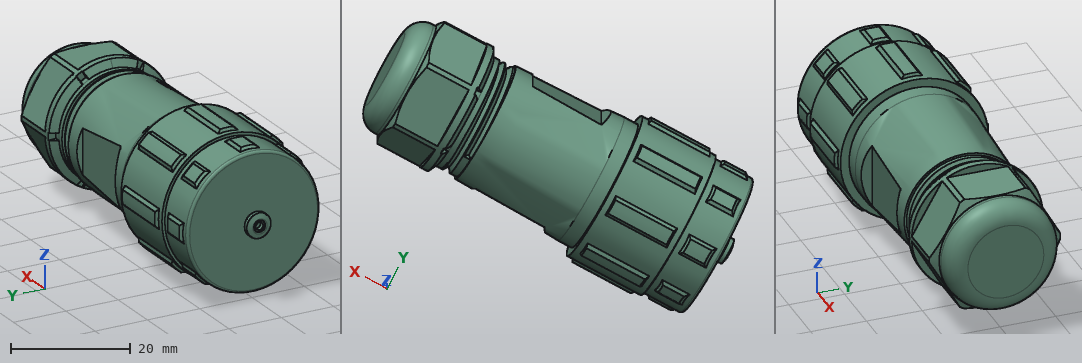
import math

import cadquery as cq


PIN_HEAD_RADIUS = 2.3
PIN_HEAD_FLAT_RADIUS = 1.35
PIN_HEAD_BEVEL = 0.3
PIN_HEAD_END = 1.1
PIN_STEM_RADIUS = 1.3
PIN_HOLE_RADIUS = 0.7
PIN_HOLE_DEPTH = 1.0
PIN_RECESS_RADIUS = 1.05
PIN_RECESS_DEPTH = 0.1

FRONT_START = 2.2
FRONT_RADIUS = 12.7
FRONT_FILLET = 0.5
GRIP_START = 9.75
GRIP_END = 23.7
GRIP_RADIUS = 13.25
GRIP_OUTER_RADIUS = 13.8
PAD_OUTER_RADIUS = 13.15

RIB_COUNT = 8
RIB_BASE_WIDTH = 3.7
RIB_TOP_WIDTH = 2.5
GRIP_RIB_BASE_SPAN = (10.85, 22.55)
GRIP_RIB_TOP_SPAN = (11.25, 22.3)
PAD_BASE_SPAN = (3.4, 8.6)
PAD_TOP_SPAN = (4.1, 8.0)

SHELL_RADIUS = 11.7
SHELL_TAPER_START = 26.4
SHELL_MIDDLE = 34.7
SHELL_MIDDLE_RADIUS = 11.17
SHELL_END = 46.35
SHELL_END_RADIUS = 10.7

FLAT_START = 29.7
FLAT_END = 42.75
FLAT_DISTANCE = 9.95
FLAT_RAMP_ANGLE = 30.0

NECK_RADIUS = 10.3
THREAD_PITCH = 1.54
THREAD_DEPTH = 0.95
THREAD_HALF_WIDTH = 0.68
THREAD_BOTTOM = 47.06
THREAD_START_ANGLE = -30.0
THREAD_START = THREAD_BOTTOM + THREAD_PITCH * THREAD_START_ANGLE / 360

NUT_START = 49.25
FLANGE_START = 50.3
FLANGE_BEVEL_END = 51.1
FLANGE_RADIUS = 11.75
HEX_START = 52.45
HEX_BEVEL_START = 60.5
HEX_END = 61.3
HEX_SIDES = 6
HEX_ACROSS_FLATS = 20.8
SLOT_WIDTH = 1.35
SLOT_END = 51.3
CAP_END = 65.4
CAP_FILLET = 3.5

CUT_MARGIN = 1.0


def revolve_about_x(outline):
    """Turn a closed outline drawn in the XY plane about the X axis."""
    return outline.close().revolve(360, (0, 0, 0), (1, 0, 0))


def cylinder_x(start, end, radius):
    """Cylinder on the X axis between two X positions."""
    return cq.Workplane("YZ", origin=(start, 0, 0)).circle(radius).extrude(end - start)


def repeat_about_x(shape, count, first_angle=0.0):
    """Union of equally spaced copies of a shape about the X axis."""
    step = 360.0 / count
    copies = cq.Workplane()
    for index in range(count):
        copies = copies.add(shape.rotate((0, 0, 0), (1, 0, 0), first_angle + index * step))
    return copies.combine()


def make_pin():
    head = revolve_about_x(
        cq.Workplane("XY")
        .lineTo(0, PIN_HEAD_FLAT_RADIUS)
        .lineTo(PIN_HEAD_BEVEL, PIN_HEAD_RADIUS)
        .lineTo(PIN_HEAD_END, PIN_HEAD_RADIUS)
        .lineTo(PIN_HEAD_END, 0)
    )
    stem = cylinder_x(PIN_HEAD_END, FRONT_START, PIN_STEM_RADIUS)
    hole = cylinder_x(0, PIN_HOLE_DEPTH, PIN_HOLE_RADIUS)
    recess = cylinder_x(0, PIN_RECESS_DEPTH, PIN_RECESS_RADIUS)
    return head.union(stem).cut(hole).cut(recess)


def make_rib(base_span, top_span, band_radius, outer_radius):
    """Rib on the +Z side with four sloped sides and a top concentric with the band."""
    half_width = RIB_BASE_WIDTH / 2
    base_height = math.sqrt(band_radius**2 - half_width**2)
    base_length = base_span[1] - base_span[0]
    top_length = top_span[1] - top_span[0]
    base_center = sum(base_span) / 2
    top_center = sum(top_span) / 2
    frustum = (
        cq.Workplane("XY", origin=(base_center, 0, base_height))
        .rect(base_length, RIB_BASE_WIDTH)
        .workplane(offset=outer_radius - base_height)
        .center(top_center - base_center, 0)
        .rect(top_length, RIB_TOP_WIDTH)
        .loft(ruled=True)
    )
    return frustum.intersect(cylinder_x(*base_span, outer_radius))


def make_coupling_ring():
    front = cylinder_x(FRONT_START, GRIP_START, FRONT_RADIUS).faces("<X").edges().fillet(FRONT_FILLET)
    grip = cylinder_x(GRIP_START, GRIP_END, GRIP_RADIUS)
    pad = make_rib(PAD_BASE_SPAN, PAD_TOP_SPAN, FRONT_RADIUS, PAD_OUTER_RADIUS)
    rib = make_rib(GRIP_RIB_BASE_SPAN, GRIP_RIB_TOP_SPAN, GRIP_RADIUS, GRIP_OUTER_RADIUS)
    ring = front.union(grip)
    ring = ring.union(repeat_about_x(pad, RIB_COUNT))
    return ring.union(repeat_about_x(rib, RIB_COUNT))


def make_shell():
    shell = revolve_about_x(
        cq.Workplane("XY")
        .moveTo(GRIP_END, 0)
        .lineTo(GRIP_END, SHELL_RADIUS)
        .lineTo(SHELL_TAPER_START, SHELL_RADIUS)
        .threePointArc((SHELL_MIDDLE, SHELL_MIDDLE_RADIUS), (SHELL_END, SHELL_END_RADIUS))
        .lineTo(SHELL_END, 0)
    )
    cut_height = SHELL_RADIUS + CUT_MARGIN
    ramp = (cut_height - FLAT_DISTANCE) * math.tan(math.radians(FLAT_RAMP_ANGLE))
    flat_cut = (
        cq.Workplane("XY")
        .moveTo(FLAT_START, FLAT_DISTANCE)
        .lineTo(FLAT_END, FLAT_DISTANCE)
        .lineTo(FLAT_END + ramp, cut_height)
        .lineTo(FLAT_START - ramp, cut_height)
        .close()
        .extrude(cut_height, both=True)
    )
    return shell.cut(flat_cut).cut(flat_cut.mirror("XZ"))


def make_threaded_neck():
    """Neck with a right-hand V groove from near the -Z side to the nut.

    The groove crosses the -Z side at THREAD_BOTTOM and its start angle is measured from there.
    """
    neck = cylinder_x(SHELL_END, NUT_START, NECK_RADIUS)
    root_radius = NECK_RADIUS - THREAD_DEPTH
    cutter_radius = NECK_RADIUS + CUT_MARGIN
    cutter_half_width = THREAD_HALF_WIDTH * (cutter_radius - root_radius) / THREAD_DEPTH
    groove_length = NUT_START + THREAD_HALF_WIDTH - THREAD_START
    helix = cq.Wire.makeHelix(THREAD_PITCH, groove_length, root_radius)
    groove = (
        cq.Workplane("XZ")
        .moveTo(root_radius, 0)
        .lineTo(cutter_radius, cutter_half_width)
        .lineTo(cutter_radius, -cutter_half_width)
        .close()
        .sweep(cq.Workplane(helix), isFrenet=True)
        .rotate((0, 0, 0), (0, 1, 0), 90)
        .rotate((0, 0, 0), (1, 0, 0), THREAD_START_ANGLE)
        .translate((THREAD_START, 0, 0))
    )
    return neck.cut(groove)


def make_nut():
    """Nut with two hexagon flats facing +Z and -Z and its corners trimmed round."""
    turned = revolve_about_x(
        cq.Workplane("XY")
        .moveTo(NUT_START, 0)
        .lineTo(NUT_START, NECK_RADIUS)
        .lineTo(FLANGE_START, NECK_RADIUS)
        .lineTo(FLANGE_BEVEL_END, FLANGE_RADIUS)
        .lineTo(HEX_BEVEL_START, FLANGE_RADIUS)
        .lineTo(HEX_END, NECK_RADIUS)
        .lineTo(CAP_END - CAP_FILLET, NECK_RADIUS)
        .radiusArc((CAP_END, NECK_RADIUS - CAP_FILLET), CAP_FILLET)
        .lineTo(CAP_END, 0)
    )
    turned = turned.rotate((0, 0, 0), (1, 0, 0), 90)
    hex_length = HEX_END - HEX_START
    hex_diameter = HEX_ACROSS_FLATS / math.cos(math.pi / HEX_SIDES)
    hex_blank = cq.Workplane("YZ", origin=(HEX_START, 0, 0))
    outside_hex = (
        hex_blank.circle(FLANGE_RADIUS + CUT_MARGIN).polygon(HEX_SIDES, hex_diameter).extrude(hex_length)
    )
    slot_length = SLOT_END - FLANGE_START
    slot = (
        cq.Workplane("XY", origin=(FLANGE_START, 0, 0))
        .box(slot_length, SLOT_WIDTH, FLANGE_RADIUS + CUT_MARGIN, centered=(False, True, False))
        .cut(cylinder_x(FLANGE_START, SLOT_END, NECK_RADIUS))
    )
    slots = repeat_about_x(slot, HEX_SIDES, 180.0 / HEX_SIDES)
    return turned.cut(outside_hex).cut(slots)


result = (
    make_coupling_ring()
    .union(make_pin())
    .union(make_shell())
    .union(make_threaded_neck())
    .union(make_nut())
)